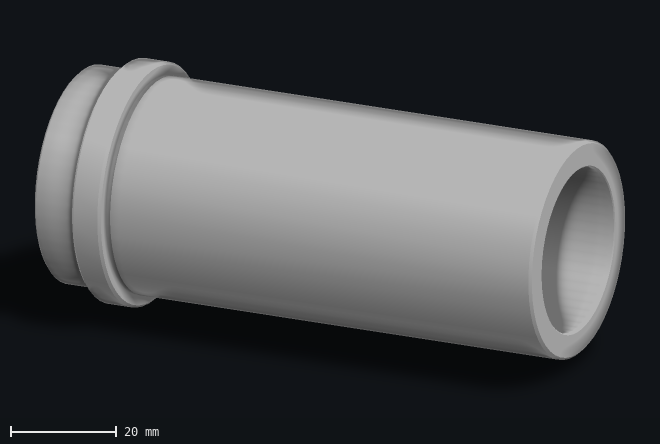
import cadquery as cq

length = 104.0
body_radius = 42.0 / 2
bore_radius = 32.0 / 2
collar_radius = 47.0 / 2
collar_start = 9.0
collar_width = 6.0
edge_chamfer = 0.5
bore_chamfer = 0.2
groove_radius = 0.5

left_end = -length / 2
right_end = length / 2
collar_left = left_end + collar_start
collar_right = collar_left + collar_width

groove_width = 2 * groove_radius
groove_floor = body_radius - groove_radius


def chamfered_cylinder(start, end, radius):
    """Solid cylinder along X with both rims chamfered."""
    cylinder = cq.Workplane("YZ", origin=(start, 0, 0)).circle(radius).extrude(end - start)
    return cylinder.faces("<X or >X").chamfer(edge_chamfer)


def relief_groove(start):
    """Ring with a half-round section that is sunk into the body surface."""
    end = start + groove_width
    middle = start + groove_radius
    section = (
        cq.Workplane("XY")
        .moveTo(start, body_radius)
        .threePointArc((middle, groove_floor), (end, body_radius))
        .close()
    )
    return section.revolve(360, (0, 0, 0), (1, 0, 0))


def bore():
    """Through hole along the whole sleeve, widened by a small chamfer at both mouths."""
    mouth_radius = bore_radius + bore_chamfer
    half_section = (
        cq.Workplane("XY")
        .moveTo(left_end, 0)
        .lineTo(left_end, mouth_radius)
        .lineTo(left_end + bore_chamfer, bore_radius)
        .lineTo(right_end - bore_chamfer, bore_radius)
        .lineTo(right_end, mouth_radius)
        .lineTo(right_end, 0)
        .close()
    )
    return half_section.revolve(360, (0, 0, 0), (1, 0, 0))


body = chamfered_cylinder(left_end, right_end, body_radius)
collar = chamfered_cylinder(collar_left, collar_right, collar_radius)
result = body.union(collar)

for groove_start in (collar_left - groove_width, collar_right):
    result = result.cut(relief_groove(groove_start))

result = result.cut(bore())